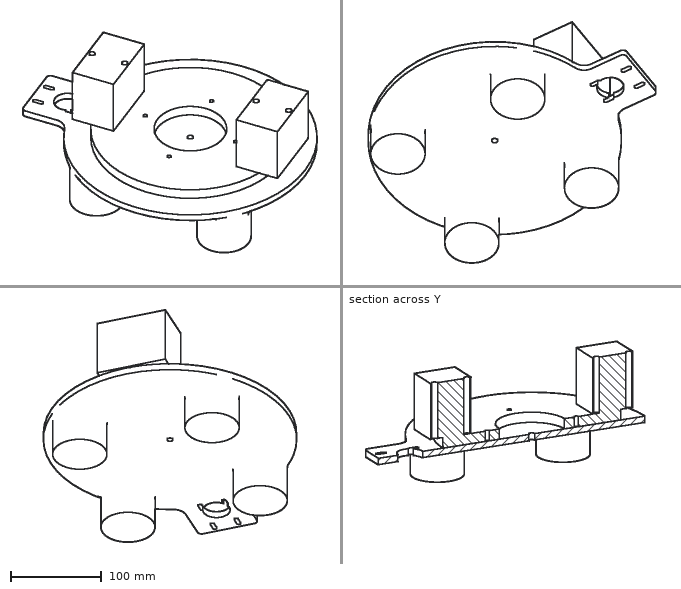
import cadquery as cq
import math

plate_diameter = 279.8
plate_radius = plate_diameter / 2
plate_thickness = 8.0
overall_length = 329.5
tab_width = 70.0
tab_corner_radius = 5.0
tab_blend_radius = 15.0
tab_end_x = plate_radius - overall_length
center_hole_diameter = 6.5

tab_hole_diameter = 30.0
tab_hole_x = -150.0
slot_length = 12.5
slot_width = 4.5
slot_spacing_x = 40.0
slot_spacing_y = 28.0
slot_center_x = -159.0

leg_diameter = 60.0
leg_height = 50.0
leg_fillet_radius = 10.0
leg_rim_gap = 0.05
leg_circle_radius = plate_radius - leg_diameter / 2 - leg_rim_gap
leg_count = 4

disc_diameter = 220.0
disc_thickness = 12.0
disc_bore_diameter = 80.0
screw_hole_diameter = 4.3
screw_circle_radius = 55.0
screw_count = 4
block_length = 50.0
block_width = 80.0
block_height = 65.2
block_center_x = 100.0
block_hole_diameter = 6.5
block_hole_spacing = 40.0

disc_bottom = plate_thickness
disc_top = disc_bottom + disc_thickness


def make_plate():
    """Round plate with a rounded tab blended into its rim."""
    plate = cq.Workplane("XY").circle(plate_radius).extrude(plate_thickness)
    tab = (
        cq.Workplane("XY")
        .center(tab_end_x / 2, 0)
        .rect(-tab_end_x, tab_width)
        .extrude(plate_thickness)
        .edges("|Z and <X")
        .fillet(tab_corner_radius)
    )
    rim_x = -math.sqrt(plate_radius**2 - (tab_width / 2) ** 2)
    blend_edges = cq.selectors.BoxSelector(
        (rim_x - 3.3, -tab_width, -3.3), (rim_x + 3.3, tab_width, plate_thickness + 3.3)
    )
    return plate.union(tab).edges("|Z").edges(blend_edges).fillet(tab_blend_radius)


def cut_plate_holes(plate):
    """Center hole, round tab opening and four tab slots."""
    center_hole = cq.Workplane("XY").circle(center_hole_diameter / 2).extrude(plate_thickness)
    tab_hole = (
        cq.Workplane("XY")
        .center(tab_hole_x, 0)
        .circle(tab_hole_diameter / 2)
        .extrude(plate_thickness)
    )
    slots = (
        cq.Workplane("XY")
        .center(slot_center_x, 0)
        .rarray(slot_spacing_x, slot_spacing_y, 2, 2)
        .slot2D(slot_length, slot_width)
        .extrude(plate_thickness)
    )
    return plate.cut(center_hole).cut(tab_hole).cut(slots)


def add_legs(plate):
    """Round legs on the diagonals, filleted where they meet the plate."""
    legs = (
        cq.Workplane("XY")
        .polarArray(leg_circle_radius, 45, 360, leg_count)
        .circle(leg_diameter / 2)
        .extrude(-leg_height)
    )
    base = plate.union(legs)
    root_edges = cq.selectors.BoxSelector(
        (-plate_radius, -plate_radius, -0.3), (plate_radius, plate_radius, 0.3)
    )
    roots = [
        edge
        for edge in base.edges(root_edges).vals()
        if edge.geomType() == "CIRCLE" and abs(edge.radius() - leg_diameter / 2) < 0.03
    ]
    return base.newObject(roots).fillet(leg_fillet_radius)


def make_block(center_x):
    """Upright block with two vertical holes."""
    block = (
        cq.Workplane("XY", origin=(center_x, 0, disc_top))
        .rect(block_length, block_width)
        .extrude(block_height)
    )
    holes = (
        cq.Workplane("XY", origin=(center_x, 0, disc_top))
        .rarray(block_hole_spacing, 3.3, 2, 1)
        .circle(block_hole_diameter / 2)
        .extrude(block_height)
    )
    return block.cut(holes)


def make_turntable():
    """Bored disc with a ring of screw holes, carrying the two blocks."""
    disc = (
        cq.Workplane("XY", origin=(0, 0, disc_bottom))
        .circle(disc_diameter / 2)
        .circle(disc_bore_diameter / 2)
        .extrude(disc_thickness)
    )
    screw_holes = (
        cq.Workplane("XY", origin=(0, 0, disc_bottom))
        .polarArray(screw_circle_radius, 0, 360, screw_count)
        .circle(screw_hole_diameter / 2)
        .extrude(disc_thickness)
    )
    turntable = disc.cut(screw_holes)
    for side in (-1, 1):
        turntable = turntable.union(make_block(side * block_center_x))
    return turntable


base = add_legs(cut_plate_holes(make_plate()))
turntable = make_turntable()

result = cq.Compound.makeCompound([base.val(), turntable.val()])